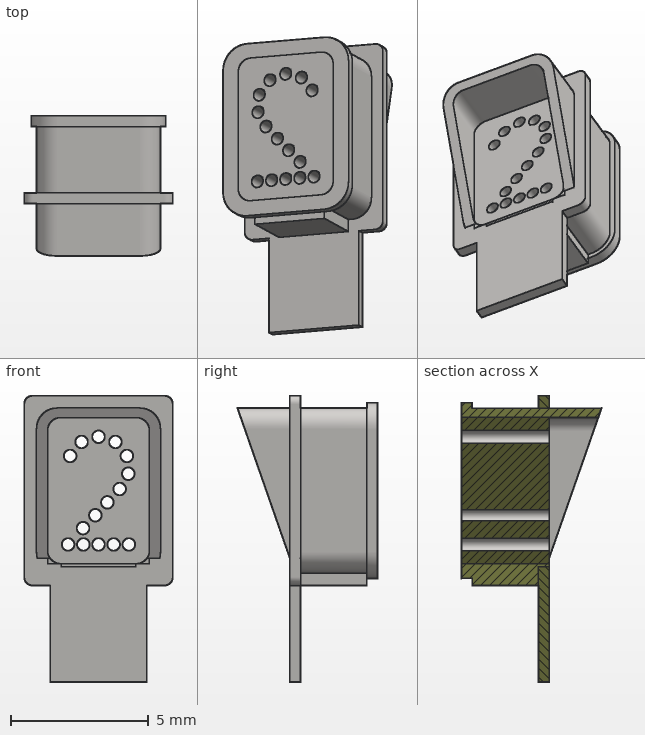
import cadquery as cq

plate_width = 5.4
plate_height = 6.9
plate_thickness = 0.4
plate_corner_radius = 0.3
tab_width = 3.5
tab_length = 10.4 - plate_height

sleeve_width = 4.5
sleeve_height = 6.0
sleeve_corner_radius = 0.75
sleeve_length = 2.4
flange_overhang = 0.2
flange_thickness = 0.4
hood_reach = 1.9
hood_height = 5.45
foot_width = 2.7
tongue_drop = 0.11

insert_width = 3.7
insert_height = 5.3
insert_corner_radius = 0.48
dot_diameter = 0.45

plate_back = plate_thickness
flange_front = plate_back + sleeve_length
housing_back = flange_front + flange_thickness
sleeve_top = sleeve_height / 2
hood_bottom = sleeve_top - hood_height
insert_bottom = -insert_height / 2

base_dot_pitch = 0.55
base_dot_z = -1.95
arch_dots = [(-1.03, 1.26), (-0.61, 1.77), (0, 1.95), (0.61, 1.77), (1.03, 1.26)]
diagonal_dots = [(1.08, 0.61), (0.77, 0.057), (0.32, -0.43), (-0.11, -0.89), (-0.56, -1.36)]
base_dots = [(i * base_dot_pitch, base_dot_z) for i in range(-2, 3)]


def block(width, bottom, top, front, back):
    """Box centred on X between the given Z and Y limits."""
    size = (width, back - front, top - bottom)
    box = cq.Workplane("XY").box(*size, centered=(True, False, False))
    return box.translate((0, front, bottom))


def rounded_block(width, height, radius, front, back):
    """Box centred on X and Z whose edges along Y are rounded."""
    return block(width, -height / 2, height / 2, front, back).edges("|Y").fillet(radius)


def neck(front, back):
    """Part of the sleeve that passes through the plate, with a stepped lower end."""
    upper = rounded_block(sleeve_width, sleeve_height, sleeve_corner_radius, front, back)
    upper = upper.intersect(block(sleeve_width, hood_bottom, sleeve_top, front, back))
    step = block(insert_width, insert_bottom, 0, front, back)
    tongue = block(foot_width, insert_bottom - tongue_drop, 0, front, back)
    return upper.union(step).union(tongue)


def hood():
    """Slanted shade that runs out to nothing at the plate's front face."""
    side_profile = (
        cq.Workplane("YZ")
        .polyline([(0, hood_bottom), (0, sleeve_top), (-hood_reach, sleeve_top)])
        .close()
        .extrude(sleeve_width / 2, both=True)
    )
    return side_profile.intersect(
        rounded_block(sleeve_width, sleeve_height, sleeve_corner_radius, -hood_reach, 0)
    )


def make_housing():
    sleeve = rounded_block(sleeve_width, sleeve_height, sleeve_corner_radius, plate_back, housing_back)
    flange = rounded_block(
        sleeve_width + 2 * flange_overhang,
        sleeve_height + 2 * flange_overhang,
        sleeve_corner_radius + flange_overhang,
        flange_front,
        housing_back,
    )
    foot = block(foot_width, -plate_height / 2, 0, plate_back, flange_front)
    bore = rounded_block(insert_width, insert_height, insert_corner_radius, -hood_reach, housing_back)
    body = sleeve.union(flange).union(foot).union(neck(0, plate_back)).union(hood())
    return body.cut(bore)


def make_plate():
    plate = rounded_block(plate_width, plate_height, plate_corner_radius, 0, plate_thickness)
    plate_bottom = -plate_height / 2
    tab = block(tab_width, plate_bottom - tab_length, plate_bottom, 0, plate_thickness)
    return plate.cut(neck(0, plate_thickness)).union(tab, clean=False)


def make_insert():
    body = rounded_block(insert_width, insert_height, insert_corner_radius, 0, housing_back)
    dots = (
        cq.Workplane("XZ")
        .pushPoints(arch_dots + diagonal_dots + base_dots)
        .circle(dot_diameter / 2)
        .extrude(-housing_back)
    )
    return body.cut(dots)


housing = make_housing()
plate = make_plate()
insert = make_insert()

result = cq.Compound.makeCompound(
    [housing.solids().val(), plate.solids().val(), insert.solids().val()]
)